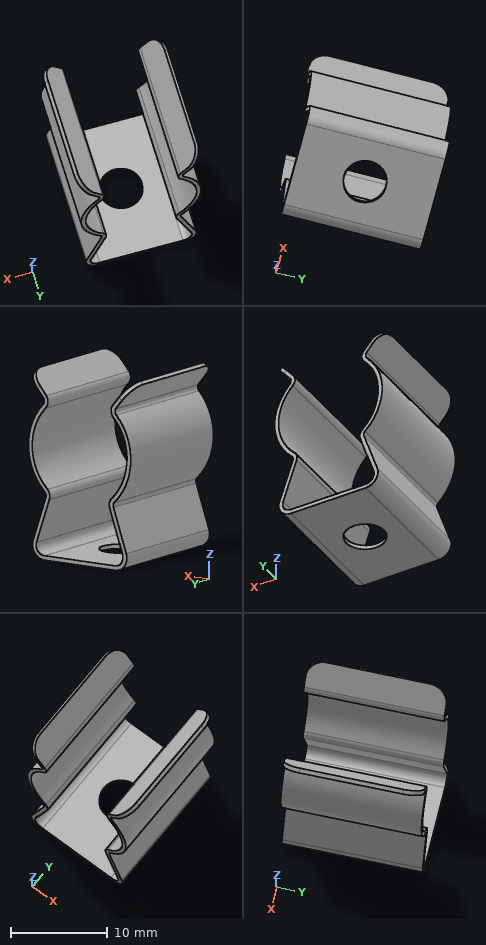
import cadquery as cq
import math


thickness = 0.5
clip_width = 15.0
clip_height = 20.0

grip_inner_radius = 6.0
grip_outer_radius = grip_inner_radius + thickness
grip_center_z = 12.0

base_bend_inner_radius = 1.0
base_bend_outer_radius = base_bend_inner_radius + thickness
base_outer_half_width = 6.0
throat_tight_radius = 0.5
throat_wide_radius = throat_tight_radius + thickness
lower_throat_half_gap = 3.77
upper_throat_half_gap = 4.0

lip_flare_angle = 40.0
lip_corner_radius = 2.0

hole_diameter = 4.5


def polar_point(center, radius, angle):
    """Point at an angle in degrees from +X on a circle in the XZ plane."""
    turn = math.radians(angle)
    return (center[0] + radius * math.cos(turn), center[1] + radius * math.sin(turn))


throat_center_distance = grip_outer_radius + throat_tight_radius
base_bend_center = (base_outer_half_width - base_bend_outer_radius, base_bend_outer_radius)
grip_center = (0.0, grip_center_z)
lower_throat_x = lower_throat_half_gap + throat_wide_radius
upper_throat_x = upper_throat_half_gap + throat_wide_radius
lower_grip_angle = math.degrees(math.acos(lower_throat_x / throat_center_distance))
upper_grip_angle = math.degrees(math.acos(upper_throat_x / throat_center_distance))
lower_throat_center = polar_point(grip_center, throat_center_distance, -lower_grip_angle)
upper_throat_center = polar_point(grip_center, throat_center_distance, upper_grip_angle)

wall_run = lower_throat_center[0] - base_bend_center[0]
wall_rise = lower_throat_center[1] - base_bend_center[1]
wall_lean_angle = math.degrees(
    math.asin((base_bend_outer_radius + throat_tight_radius) / math.hypot(wall_run, wall_rise))
    - math.atan2(wall_run, wall_rise)
)

lip_normal_angle = 180.0 - lip_flare_angle

base_bend = (base_bend_center, base_bend_outer_radius, base_bend_inner_radius, -90.0, wall_lean_angle)
lower_throat = (
    lower_throat_center, throat_tight_radius, throat_wide_radius,
    180.0 + wall_lean_angle, 180.0 - lower_grip_angle,
)
grip = (grip_center, grip_outer_radius, grip_inner_radius, -lower_grip_angle, upper_grip_angle)
upper_throat = (
    upper_throat_center, throat_tight_radius, throat_wide_radius,
    180.0 + upper_grip_angle, lip_normal_angle,
)

arc_runs = [[base_bend], [lower_throat, grip, upper_throat]]


def draw_arc(outline, center, radius, start, end):
    """Continue the outline along an arc that begins at its current point."""
    middle_point = polar_point(center, radius, (start + end) / 2)
    return outline.threePointArc(middle_point, polar_point(center, radius, end))


def draw_outside_face(outline):
    """Draw the outside face of the strip from the base up to the lip."""
    for run in arc_runs:
        center, radius, _, start, _ = run[0]
        outline = outline.lineTo(*polar_point(center, radius, start))
        for center, radius, _, start, end in run:
            outline = draw_arc(outline, center, radius, start, end)
    return outline


def draw_inside_face(outline):
    """Draw the inside face of the strip from the lip down to the base."""
    for run in reversed(arc_runs):
        center, _, radius, _, end = run[-1]
        outline = outline.lineTo(*polar_point(center, radius, end))
        for center, _, radius, start, end in reversed(run):
            outline = draw_arc(outline, center, radius, end, start)
    return outline


def make_half_clip():
    """Right half of the bent strip, with the lip corners rounded."""
    lip_root = polar_point(upper_throat_center, throat_wide_radius, lip_normal_angle)
    lip_length = (clip_height - lip_root[1]) / math.cos(math.radians(lip_flare_angle))
    lip_inside_tip = polar_point(lip_root, lip_length, 90.0 - lip_flare_angle)
    lip_outside_tip = polar_point(lip_inside_tip, -thickness, lip_normal_angle)

    outline = draw_outside_face(cq.Workplane("XZ").moveTo(0, 0))
    outline = outline.lineTo(*lip_outside_tip).lineTo(*lip_inside_tip)
    outline = draw_inside_face(outline).lineTo(0, thickness).close()
    half = outline.extrude(clip_width / 2, both=True)

    across_x, across_z = polar_point((0, 0), 1, lip_normal_angle)
    lip_corners = cq.selectors.ParallelDirSelector(cq.Vector(across_x, 0, across_z))
    return half.edges(lip_corners).fillet(lip_corner_radius)


def make_mounting_hole():
    """Cutter for the round hole through the middle of the base."""
    return cq.Workplane("XY").circle(hole_diameter / 2).extrude(thickness)


half_clip = make_half_clip()
result = half_clip.union(half_clip.mirror("YZ")).cut(make_mounting_hole())